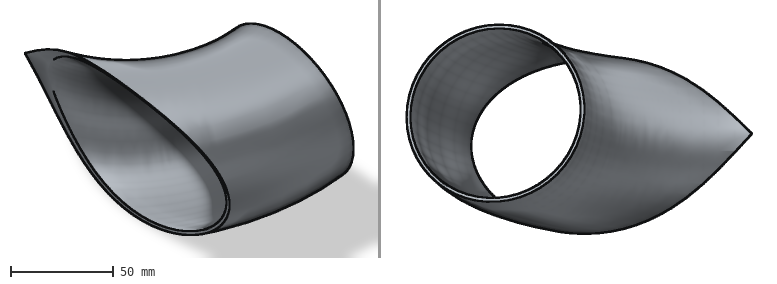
import cadquery as cq


overall_length = 158.5
outer_diameter = 88.9
inner_diameter = 85.0
header_diameter = 219.1
bend_angle = 90

outer_radius = outer_diameter / 2
header_radius = header_diameter / 2
bend_radius = overall_length - outer_radius
inside_bend_radius = bend_radius - outer_radius
header_axis_y = -(inside_bend_radius + header_radius)


def bent_rod(diameter):
    """Solid round bar bent from the +X axis round to the -Y axis."""
    return (
        cq.Workplane("XZ")
        .center(bend_radius, 0)
        .circle(diameter / 2)
        .revolve(bend_angle, (-bend_radius, 0), (-bend_radius, -1))
    )


def header_pipe():
    """Solid header that shapes the saddle end, longer than the elbow on both sides."""
    return (
        cq.Workplane("ZY")
        .center(0, header_axis_y)
        .circle(header_radius)
        .extrude(2 * overall_length, both=True)
    )


pipe = bent_rod(outer_diameter).cut(bent_rod(inner_diameter))
result = pipe.cut(header_pipe()).solids()